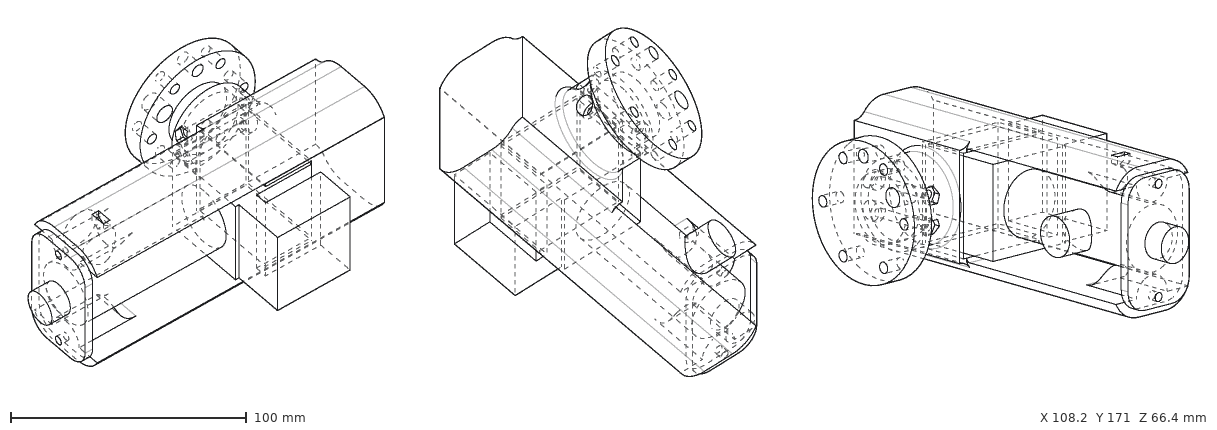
import cadquery as cq
import math


rail_length = 156.8
rail_half_height = 33.2
corner_centre_x = 7.9
rail_corner_radius = 14.7
corner_centre_z = rail_half_height - rail_corner_radius
slot_half_height = 25.0
slot_rear_y = -65.0
slot_fillet = 1.7
rail_half_width = corner_centre_x + math.sqrt(
    rail_corner_radius**2 - (slot_half_height - corner_centre_z) ** 2
)

pad_face_x = -25.1
pad_blend_radius = 7.4

hub_y = -43.5
hub_diameter = 40.5
hub_end_x = -43.3
flare_start_x = -27.7
flare_height = 2.0
bolt_x = -38.6
bolt_spacing = 14.0
bolt_diameter = 4.0
bolt_head_diameter = 8.5
nut_across_flats = 7.0
head_seat_offset = 14.5
nut_seat_offset = 16.2

post_diameter = 18.0
post_blend_start_y = -125.8
pocket_width = 7.5
pocket_length = 3.6
pocket_y = -137.6
pocket_wall_depth = 3.5
pocket_floor_depth = 5.6

flange_diameter = 63.0
flange_face_x = -61.0
flange_thickness = 10.1
neck_diameter = 31.5
flange_hole_diameter = 5.0
flange_hole_count = 6
flange_hole_circle = 50.0
index_hole_diameter = 6.0
index_hole_angle = 90.0
access_hole_diameter = 8.5
access_hole_radius = 20.9
access_hole_angle = 150.0

block_half_width = 21.2
block_half_height = 21.4
block_front_y = -81.4
handle_rear_y = -39.8
arm_rear_y = -70.0
arm_front_y = -79.5
handle_inner_x = 27.4
handle_outer_x = 47.2
block_side_clearance = 1.7
rod_diameter = 30.0
knob_diameter = 18.0
knob_y = -126.5
knob_face_x = -27.9
end_plate_thickness = 4.1
end_plate_half_width = 18.0
end_plate_half_height = 29.2
end_plate_corner_radius = end_plate_half_width - corner_centre_x
end_plate_hole_diameter = 4.0
shaft_diameter = 16.0
shaft_end_y = -171.0


def box(x_range, y_range, z_range):
    """Box between two coordinates on each axis."""
    lows = [min(r) for r in (x_range, y_range, z_range)]
    sizes = [abs(r[1] - r[0]) for r in (x_range, y_range, z_range)]
    return cq.Workplane("XY").box(*sizes, centered=False).translate(tuple(lows))


def cylinder_x(diameter, x_start, x_end, y, z):
    """Cylinder along X."""
    return cq.Workplane("YZ", origin=(x_start, y, z)).circle(diameter / 2).extrude(x_end - x_start)


def cylinder_y(diameter, y_start, y_end, x, z):
    """Cylinder along Y."""
    return cq.Workplane("XZ", origin=(x, y_start, z)).circle(diameter / 2).extrude(y_start - y_end)


def make_rail():
    """Rounded rail with its slot, which is open at the front end."""
    core = box((-rail_half_width, rail_half_width), (0, -rail_length), (-rail_half_height, rail_half_height))
    rounded_bar = (
        cq.Workplane("XZ")
        .rect(2 * (corner_centre_x + rail_corner_radius), 2 * rail_half_height)
        .extrude(rail_length)
        .edges("|Y")
        .fillet(rail_corner_radius)
    )
    slot = box(
        (pad_face_x, -pad_face_x), (slot_rear_y, -rail_length), (-slot_half_height, slot_half_height)
    )
    slot = slot.edges("|X and >Y").fillet(slot_fillet)
    return core.intersect(rounded_bar).cut(slot)


def make_pad():
    """Flat side pad, blended into both rounded corners of the rail by tangent arcs."""
    blend_z = slot_half_height + pad_blend_radius
    reach = rail_corner_radius + pad_blend_radius
    blend_rise = blend_z - corner_centre_z
    blend_x = -corner_centre_x - math.sqrt(reach**2 - blend_rise**2)
    share = rail_corner_radius / reach
    touch_x = -corner_centre_x + share * (blend_x + corner_centre_x)
    touch_z = corner_centre_z + share * blend_rise
    half_turn = (math.atan2(touch_z - blend_z, touch_x - blend_x) - math.pi / 2) / 2
    middle_x = blend_x + pad_blend_radius * math.cos(half_turn)
    middle_z = blend_z + pad_blend_radius * math.sin(half_turn)
    profile = (
        cq.Workplane("XZ")
        .moveTo(pad_face_x, -slot_half_height)
        .lineTo(pad_face_x, slot_half_height)
        .lineTo(blend_x, slot_half_height)
        .threePointArc((middle_x, middle_z), (touch_x, touch_z))
        .lineTo(-corner_centre_x, corner_centre_z)
        .lineTo(-corner_centre_x, -corner_centre_z)
        .lineTo(touch_x, -touch_z)
        .threePointArc((middle_x, -middle_z), (blend_x, -slot_half_height))
        .close()
    )
    return profile.extrude(-slot_rear_y)


def make_hub():
    """Round hub on the pad, flared by an arc where it meets the pad."""
    radius = hub_diameter / 2
    flare_length = pad_face_x - flare_start_x
    profile = (
        cq.Workplane("XY", origin=(0, hub_y, 0))
        .moveTo(hub_end_x, 0)
        .lineTo(hub_end_x, radius)
        .lineTo(flare_start_x, radius)
        .tangentArcPoint((flare_length, flare_height))
        .lineTo(pad_face_x, 0)
        .close()
    )
    return profile.revolve(360, (0, 0, 0), (1, 0, 0))


def make_bolt_hole(z):
    """Cross bolt hole with a round head seat at the rear and a hexagonal nut seat in front."""
    rear_y = hub_y + hub_diameter / 2
    front_y = hub_y - hub_diameter / 2
    hole = cylinder_y(bolt_diameter, rear_y, front_y, bolt_x, z)
    head = cylinder_y(bolt_head_diameter, rear_y, hub_y + head_seat_offset, bolt_x, z)
    nut = (
        cq.Workplane("XZ", origin=(bolt_x, hub_y - nut_seat_offset, z))
        .polygon(6, nut_across_flats / math.cos(math.pi / 6))
        .extrude(hub_diameter / 2 - nut_seat_offset)
    )
    return hole.union(head).union(nut)


def make_post(side):
    """Screw post along Y, scooped at its rear end by an arc tangent to the slot wall."""
    radius = post_diameter / 2
    post = cylinder_y(post_diameter, post_blend_start_y, -rail_length, 0, side * slot_half_height)
    scoop = cylinder_x(
        post_diameter, -radius, radius, post_blend_start_y, side * (slot_half_height - radius)
    )
    rail_side = box(
        (-radius, radius),
        (post_blend_start_y, -rail_length),
        (side * (slot_half_height + radius), side * rail_half_height),
    )
    return post.cut(scoop).cut(rail_side)


def make_pocket():
    """Rectangular pocket in the top face, with a V floor."""
    half_width = pocket_width / 2
    wall_z = rail_half_height - pocket_wall_depth
    return (
        cq.Workplane("XZ", origin=(0, pocket_y + pocket_length / 2, 0))
        .polyline(
            [
                (-half_width, rail_half_height),
                (half_width, rail_half_height),
                (half_width, wall_z),
                (0, rail_half_height - pocket_floor_depth),
                (-half_width, wall_z),
            ]
        )
        .close()
        .extrude(pocket_length)
    )


def make_housing():
    """Rail, pad, hub and posts in one piece, with a block cavity and a wall flush with the block."""
    flush_wall = box((0, block_half_width), (0, slot_rear_y), (-slot_half_height, slot_half_height))
    housing = make_rail().union(flush_wall).union(make_pad()).union(make_hub())
    cavity_half_height = slot_half_height - slot_fillet
    cavity = box(
        (-block_half_width - block_side_clearance, -pad_face_x),
        (handle_rear_y, slot_rear_y - slot_fillet),
        (-cavity_half_height, cavity_half_height),
    )
    housing = housing.cut(cavity)
    for side in (-1, 1):
        housing = housing.union(make_post(side))
        housing = housing.cut(make_bolt_hole(side * bolt_spacing / 2))
    return housing.cut(make_pocket())


def make_flange():
    """Drilled disc with a neck that seats on the end of the hub."""
    disc_rear_x = flange_face_x + flange_thickness
    flange = cylinder_x(flange_diameter, flange_face_x, disc_rear_x, hub_y, 0)
    flange = flange.union(cylinder_x(neck_diameter, disc_rear_x, hub_end_x, hub_y, 0))

    holes = [
        (index_hole_diameter, flange_hole_circle / 2, index_hole_angle),
        (access_hole_diameter, access_hole_radius, access_hole_angle),
    ]
    for index in range(flange_hole_count):
        holes.append((flange_hole_diameter, flange_hole_circle / 2, index * 360 / flange_hole_count))
    for diameter, radius, angle in holes:
        y = hub_y + radius * math.cos(math.radians(angle))
        z = radius * math.sin(math.radians(angle))
        flange = flange.cut(cylinder_x(diameter, flange_face_x, disc_rear_x, y, z))
    return flange


def make_end_plate():
    """Rounded plate on the front face of the rail, with two screw holes."""
    plate = (
        cq.Workplane("XZ", origin=(0, -rail_length, 0))
        .rect(2 * end_plate_half_width, 2 * end_plate_half_height)
        .extrude(end_plate_thickness)
        .edges("|Y")
        .fillet(end_plate_corner_radius)
    )
    for side in (-1, 1):
        hole = cylinder_y(
            end_plate_hole_diameter,
            -rail_length,
            -rail_length - end_plate_thickness,
            0,
            side * slot_half_height,
        )
        plate = plate.cut(hole)
    return plate


def make_carriage():
    """Block, arm, handle, rod, knob, end plate and shaft in one piece."""
    z_range = (-block_half_height, block_half_height)
    block = box((-block_half_width, block_half_width), (handle_rear_y, block_front_y), z_range)
    arm = box((block_half_width, handle_inner_x), (arm_rear_y, arm_front_y), z_range)
    handle = box((handle_inner_x, handle_outer_x), (handle_rear_y, arm_front_y), z_range)
    rod = cylinder_y(rod_diameter, block_front_y, -rail_length, 0, 0)
    knob = cylinder_x(knob_diameter, knob_face_x, 0, knob_y, 0)
    shaft = cylinder_y(shaft_diameter, -rail_length - end_plate_thickness, shaft_end_y, 0, 0)
    return block.union(arm).union(handle).union(rod).union(knob).union(make_end_plate()).union(shaft)


housing = make_housing()
flange = make_flange()
carriage = make_carriage()

result = cq.Compound.makeCompound([housing.solids().val(), flange.solids().val(), carriage.solids().val()])